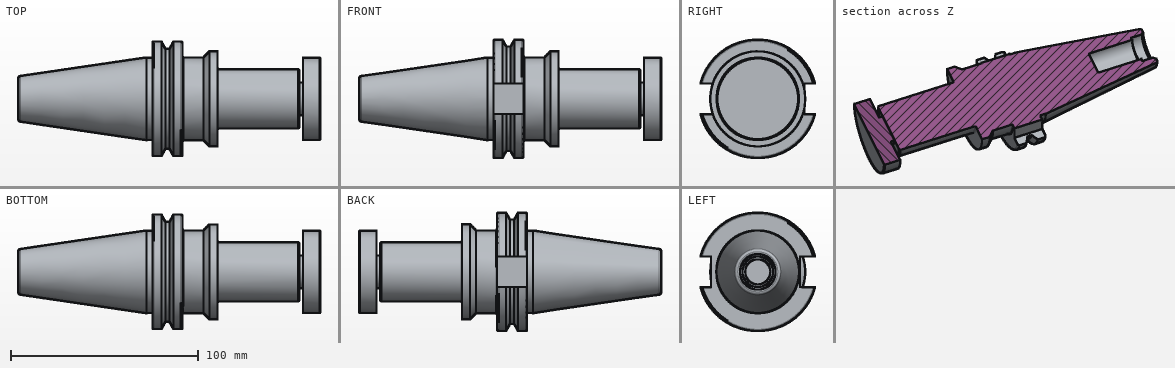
import cadquery as cq


total_length = 160.9
taper_end = 68.4
flange_front = 71.5
flange_back = 87.5
collar_cone_start = 98.6
collar_back = 106.2
arbor_end = 149.8
head_start = 151.5

tip_radius = 24.1 / 2
gauge_radius = 44.2 / 2
neck_radius = 43.9 / 2
tip_fillet = 1.6

flange_radius = 63.2 / 2
flange_edge_fillet = 1.0
groove_center = 79.5
groove_mouth_width = 6.5
groove_floor_width = 2.3
groove_depth = 3.7

slot_width = 16.2
deep_slot_floor = 22.4
shallow_slot_floor = 25.0

spacer_radius = 44.2 / 2
collar_radius = 50.7 / 2
collar_cone_length = collar_radius - spacer_radius
arbor_radius = 31.7 / 2
arbor_chamfer = 0.8
root_fillet = 0.5

countersink_radius = 19.0 / 2
counterbore_radius = 16.2 / 2
counterbore_depth = 7.4
bore_radius = 13.4 / 2
bore_depth = 32.2

screw_neck_radius = 17.5 / 2
head_radius = 43.9 / 2
head_chamfer = 0.5


def revolve_about_x(profile):
    """Turn a closed (x, radius) profile about the X axis."""
    return profile.close().revolve(360, (0, 0, 0), (1, 0, 0))


def cylinder(x_start, x_end, radius):
    return cq.Workplane("YZ", origin=(x_start, 0, 0)).circle(radius).extrude(x_end - x_start)


def make_shank():
    """Taper with a rounded small end, and the short neck behind it."""
    cone = revolve_about_x(
        cq.Workplane("XY")
        .moveTo(0, 0)
        .lineTo(0, tip_radius)
        .lineTo(taper_end, gauge_radius)
        .lineTo(taper_end, 0)
    )
    rounded = cone.faces("<X").edges().fillet(tip_fillet)
    return rounded.union(cylinder(taper_end, flange_front, neck_radius))


def make_groove_ring():
    """Trapezoidal ring that cuts the gripper groove."""
    floor_radius = flange_radius - groove_depth
    return revolve_about_x(
        cq.Workplane("XY")
        .moveTo(groove_center - groove_mouth_width / 2, flange_radius)
        .lineTo(groove_center - groove_floor_width / 2, floor_radius)
        .lineTo(groove_center + groove_floor_width / 2, floor_radius)
        .lineTo(groove_center + groove_mouth_width / 2, flange_radius)
    )


def make_drive_slot(side, floor_distance):
    """Block that cuts one drive slot; side is +1 for +Y and -1 for -Y."""
    depth = flange_radius - floor_distance
    return cq.Workplane("XY").box(flange_back - flange_front, depth, slot_width).translate(
        ((flange_front + flange_back) / 2, side * (floor_distance + depth / 2), 0)
    )


def make_flange():
    flange = cylinder(flange_front, flange_back, flange_radius).edges().fillet(flange_edge_fillet)
    flange = flange.cut(make_groove_ring())
    flange = flange.cut(make_drive_slot(-1, deep_slot_floor))
    return flange.cut(make_drive_slot(1, shallow_slot_floor))


def make_root_fillet(x_wall, radius):
    """Ring with a concave quarter-round that blends a cylinder into the wall at x_wall."""
    bulge = root_fillet * (1 - 0.5**0.5)
    return revolve_about_x(
        cq.Workplane("XY")
        .moveTo(x_wall, 0)
        .lineTo(x_wall, radius + root_fillet)
        .threePointArc((x_wall + bulge, radius + bulge), (x_wall + root_fillet, radius))
        .lineTo(x_wall + root_fillet, 0)
    )


def make_collar():
    """Spacer cylinder that widens through a 45 degree cone to the collar."""
    return revolve_about_x(
        cq.Workplane("XY")
        .moveTo(flange_back, 0)
        .lineTo(flange_back, spacer_radius)
        .lineTo(collar_cone_start, spacer_radius)
        .lineTo(collar_cone_start + collar_cone_length, collar_radius)
        .lineTo(collar_back, collar_radius)
        .lineTo(collar_back, 0)
    )


def make_arbor():
    arbor = cylinder(collar_back, arbor_end, arbor_radius).faces(">X").edges().chamfer(arbor_chamfer)
    return arbor.union(make_root_fillet(collar_back, arbor_radius))


def make_bore():
    """Countersunk, stepped blind bore in the small end of the shank."""
    countersink_depth = countersink_radius - counterbore_radius
    return revolve_about_x(
        cq.Workplane("XY")
        .moveTo(0, 0)
        .lineTo(0, countersink_radius)
        .lineTo(countersink_depth, counterbore_radius)
        .lineTo(counterbore_depth, counterbore_radius)
        .lineTo(counterbore_depth, bore_radius)
        .lineTo(bore_depth, bore_radius)
        .lineTo(bore_depth, 0)
    )


def make_holder():
    holder = make_shank().union(make_flange()).union(make_collar()).union(make_arbor())
    holder = holder.union(make_root_fillet(flange_back, spacer_radius))
    return holder.cut(make_bore())


def make_clamping_screw():
    """Flat round head on a short neck that bears on the end face of the arbor."""
    head = cylinder(head_start, total_length, head_radius).faces(">X").edges().chamfer(head_chamfer)
    return head.union(cylinder(arbor_end, head_start, screw_neck_radius))


holder = make_holder()
clamping_screw = make_clamping_screw()

result = cq.Compound.makeCompound([*holder.solids().vals(), *clamping_screw.solids().vals()])